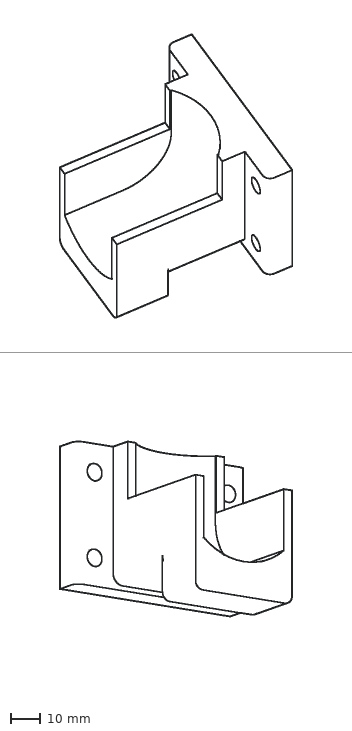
import cadquery as cq

plate_width = 70.0
plate_depth = 10.0
plate_height = 50.0
plate_corner_radius = 3.0

body_width = 39.75
body_reach = 60.0
body_height = 48.3
body_corner_radius = 4.0
collar_reach = 18.9
side_wall_drop = 20.0

foot_length = 20.0
foot_height = 60.0
foot_corner_radius = 3.0

channel_width = 33.0
channel_radius = 25.0
channel_back_wall = 12.2
channel_floor_drop = 47.75

hole_diameter = 6.0
hole_spacing_x = 54.95
hole_spacing_z = 30.0
hole_top_drop = 10.0


def hanging_block(width, back, front, top, bottom):
    """Block centred on X, between two reaches from the back and two drops from the top."""
    return (
        cq.Workplane("XY")
        .box(width, front - back, bottom - top, centered=(True, False, False))
        .translate((0, -front, -bottom))
    )


def make_plate():
    plate = hanging_block(plate_width, 0, plate_depth, 0, plate_height)
    return plate.edges("|Z and <Y").fillet(plate_corner_radius)


def make_body():
    collar = hanging_block(body_width, 0, collar_reach, 0, side_wall_drop)
    trough = hanging_block(body_width, 0, body_reach, side_wall_drop, body_height)
    trough = trough.edges("|Y and <Z").fillet(body_corner_radius)
    foot = hanging_block(body_width, body_reach - foot_length, body_reach, side_wall_drop, foot_height)
    foot = foot.edges("|Y and <Z").fillet(foot_corner_radius)
    return collar.union(trough).union(foot)


def make_channel():
    """Two crossing cylinders with a ball at the bend, trimmed to the channel width."""
    bend_reach = channel_back_wall + channel_radius
    bend_drop = channel_floor_drop - channel_radius
    bend = (0, -bend_reach, -bend_drop)
    run = body_reach + foot_height
    upright = cq.Workplane("XY").circle(channel_radius).extrude(run).translate(bend)
    level = cq.Workplane("XZ").circle(channel_radius).extrude(run).translate(bend)
    ball = cq.Workplane("XY").sphere(channel_radius).translate(bend)
    opening = hanging_block(2 * channel_radius, bend_reach, run, -run, bend_drop)
    envelope = hanging_block(channel_width, 0, run, -run, run)
    return upright.union(level).union(ball).union(opening).intersect(envelope)


def make_holes():
    return (
        cq.Workplane("XZ")
        .center(0, -hole_top_drop - hole_spacing_z / 2)
        .rarray(hole_spacing_x, hole_spacing_z, 2, 2)
        .circle(hole_diameter / 2)
        .extrude(plate_depth)
    )


result = make_plate().union(make_body()).cut(make_channel()).cut(make_holes())